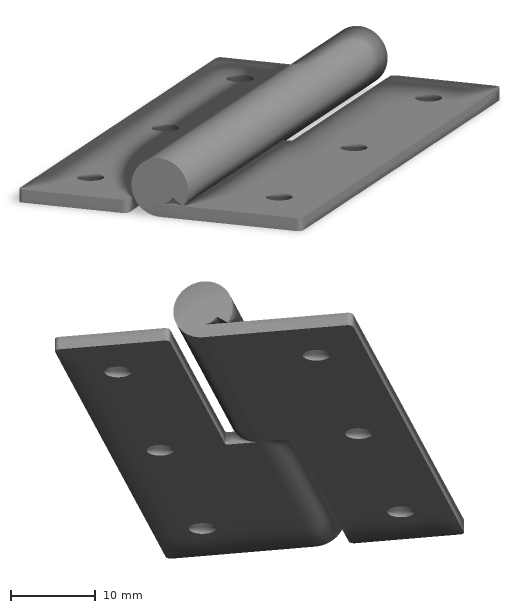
import cadquery as cq
import math

length = 64.0
width = 36.0
pin_radius = 2.0
sheet = 1.6
leaf_gap = 0.5
corner_radius = 0.65
notch_radius = 0.4
curl_end_angle = 33.0
hole_diameter = 3.2
hole_x = 12.0
hole_pitch = 23.95
hole_count = 3

knuckle_radius = pin_radius + sheet
half_length = length / 2
half_width = width / 2
leaf_edge = knuckle_radius + leaf_gap


def around_axis(radius, angle):
    """Point in the XZ plane at an angle in degrees from +X."""
    return (radius * math.cos(math.radians(angle)), radius * math.sin(math.radians(angle)))


def make_flat():
    """Flat plate over the full length, with rounded corners, beside the other leaf's knuckle."""
    plate = cq.Workplane("XY").workplane(offset=-knuckle_radius).moveTo((leaf_edge + half_width) / 2, 0)
    return plate.rect(half_width - leaf_edge, length).extrude(sheet).edges("|Z").fillet(corner_radius)


def make_knuckle():
    """Front half of the leaf: a sheet strip rolled around the pin."""
    flat_end = leaf_edge + corner_radius
    profile = (
        cq.Workplane("XZ")
        .moveTo(flat_end, -knuckle_radius)
        .lineTo(0, -knuckle_radius)
        .threePointArc((0, knuckle_radius), around_axis(knuckle_radius, -curl_end_angle))
        .lineTo(*around_axis(pin_radius, -curl_end_angle))
        .threePointArc((0, pin_radius), (0, -pin_radius))
        .lineTo(flat_end, -pin_radius)
        .close()
    )
    return profile.extrude(half_length)


def make_leaf():
    """Leaf on the +X side, with its knuckle on the -Y half."""
    leaf = make_flat().union(make_knuckle()).clean()
    notch_corner = cq.selectors.NearestToPointSelector((leaf_edge, 0, sheet / 2 - knuckle_radius))
    leaf = leaf.edges("|Z").edges(notch_corner).fillet(notch_radius)
    hole_places = [(hole_x, (i - (hole_count - 1) / 2) * hole_pitch) for i in range(hole_count)]
    holes = (
        cq.Workplane("XY").workplane(offset=-knuckle_radius)
        .pushPoints(hole_places).circle(hole_diameter / 2).extrude(sheet)
    )
    return leaf.cut(holes).solids()


def make_pin():
    """Plain pin running through both knuckles."""
    return cq.Workplane("XZ").circle(pin_radius).extrude(half_length, both=True)


leaves = [make_leaf().rotate((0, 0, 0), (0, 0, 1), turn).val() for turn in (0, 180)]
pin = make_pin()

result = cq.Compound.makeCompound([*leaves, pin.val()])